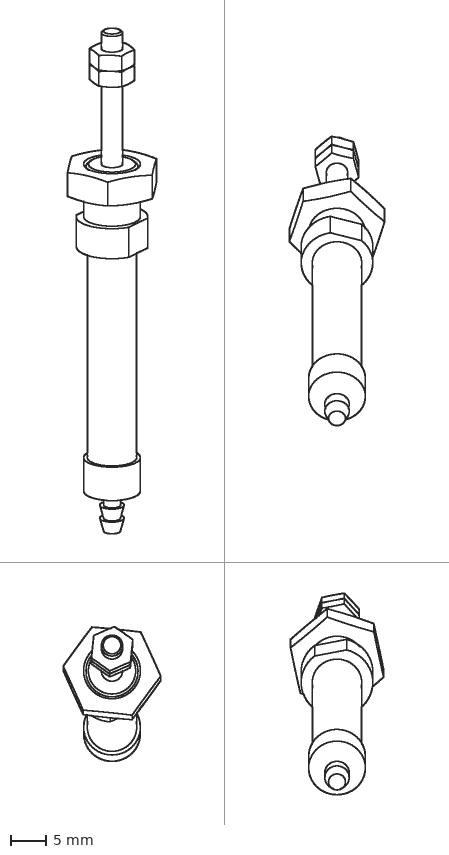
import cadquery as cq
import math

total_height = 75.0
barb_height = 1.95
neck_bottom = 2 * barb_height
cap_bottom = 6.0
cap_height = 5.0
tube_bottom = cap_bottom + cap_height
collar_bottom = 42.7
collar_height = 4.5
thread_bottom = collar_bottom + collar_height
thread_top = 55.05

nozzle_neck_diameter = 2.4
nozzle_fillet = 0.2
barb_diameter = 3.45
cap_diameter = 8.0
tube_diameter = 7.0
collar_diameter = 10.1
collar_flat_width = 9.0
thread_diameter = 8.0
thread_core_diameter = 6.7
spigot_diameter = (thread_diameter + thread_core_diameter) / 2
spigot_chamfer = (spigot_diameter - thread_core_diameter) / 2

rod_diameter = 3.0
rod_tip_diameter = 2.5
rod_chamfer = (rod_diameter - rod_tip_diameter) / 2
rod_bottom = thread_bottom

mounting_nut_flats = 12.0
mounting_nut_height = 4.05
mounting_nut_bottom = thread_top - mounting_nut_height
countersink = (thread_diameter - spigot_diameter) / 2

lock_nut_flats = 5.55
lock_nut_height = 2.4
lock_nut_count = 2
lock_nuts_top = 72.4
lock_nuts_bottom = lock_nuts_top - lock_nut_count * lock_nut_height

nut_chamfer_angle = math.radians(15)


def cylinder(diameter, bottom, height):
    return cq.Workplane("XY").workplane(offset=bottom).circle(diameter / 2).extrude(height)


def make_collar():
    """Round collar with two wrench flats facing -X and +X."""
    flats = (
        cq.Workplane("XY")
        .workplane(offset=collar_bottom)
        .rect(collar_flat_width, collar_diameter)
        .extrude(collar_height)
    )
    return cylinder(collar_diameter, collar_bottom, collar_height).intersect(flats)


def make_nozzle():
    """Hose nozzle: two conical barbs, widest at the top, below a neck filleted into the cap."""
    neck_radius = nozzle_neck_diameter / 2
    barb_radius = barb_diameter / 2
    profile = (
        cq.Workplane("XZ")
        .lineTo(neck_radius, 0)
        .lineTo(barb_radius, barb_height)
        .lineTo(neck_radius, barb_height)
        .lineTo(barb_radius, neck_bottom)
        .lineTo(neck_radius, neck_bottom)
        .lineTo(neck_radius, cap_bottom - nozzle_fillet)
        .radiusArc((neck_radius + nozzle_fillet, cap_bottom), nozzle_fillet)
        .lineTo(0, cap_bottom)
        .close()
    )
    return profile.revolve(360, (0, 0), (0, 1))


def make_housing():
    """Cylinder housing: nozzle, end cap, tube, collar and threaded end, bored for the rod."""
    spigot = (
        cylinder(spigot_diameter, mounting_nut_bottom, mounting_nut_height)
        .faces(">Z")
        .chamfer(spigot_chamfer)
    )
    solid = (
        make_nozzle()
        .union(cylinder(cap_diameter, cap_bottom, cap_height))
        .union(cylinder(tube_diameter, tube_bottom, collar_bottom - tube_bottom))
        .union(make_collar())
        .union(cylinder(thread_diameter, thread_bottom, mounting_nut_bottom - thread_bottom))
        .union(spigot)
    )
    return solid.cut(cylinder(rod_diameter, rod_bottom, thread_top - rod_bottom))


def make_rod():
    """Piston rod with a chamfered tip."""
    return (
        cylinder(rod_diameter, rod_bottom, total_height - rod_bottom)
        .faces(">Z")
        .chamfer(rod_chamfer)
    )


def make_nut(flats, hole_diameter, bottom, height, turn):
    """Hexagon nut, both faces chamfered to a circle as wide as the flats; turn is in degrees."""
    corner_radius = flats / math.sqrt(3)
    face_radius = flats / 2
    chamfer_drop = (corner_radius - face_radius) * math.tan(nut_chamfer_angle)
    hexagon = (
        cq.Workplane("XY")
        .polygon(6, 2 * corner_radius)
        .extrude(height)
        .rotate((0, 0, 0), (0, 0, 1), turn)
    )
    turned_blank = (
        cq.Workplane("XZ")
        .lineTo(face_radius, 0)
        .lineTo(corner_radius, chamfer_drop)
        .lineTo(corner_radius, height - chamfer_drop)
        .lineTo(face_radius, height)
        .lineTo(0, height)
        .close()
        .revolve(360, (0, 0), (0, 1))
    )
    nut = hexagon.intersect(turned_blank).cut(cylinder(hole_diameter, 0, height))
    return nut.translate((0, 0, bottom))


def make_mounting_nut():
    """Mounting nut with corners along X and a countersunk top, forming a V groove with the spigot."""
    nut = make_nut(
        mounting_nut_flats, spigot_diameter, mounting_nut_bottom, mounting_nut_height, turn=0
    )
    cone = cq.Solid.makeCone(
        spigot_diameter / 2, thread_diameter / 2, countersink, pnt=(0, 0, thread_top - countersink)
    )
    return nut.cut(cq.Workplane(cone))


def make_lock_nut(index):
    """One lock nut of the stack, counted upward, with corners along Y."""
    bottom = lock_nuts_bottom + index * lock_nut_height
    return make_nut(lock_nut_flats, rod_diameter, bottom, lock_nut_height, turn=30)


housing = make_housing()
rod = make_rod()
mounting_nut = make_mounting_nut()
lock_nuts = [make_lock_nut(index) for index in range(lock_nut_count)]

result = cq.Compound.makeCompound(
    [housing.val(), rod.val(), mounting_nut.val()] + [nut.val() for nut in lock_nuts]
)